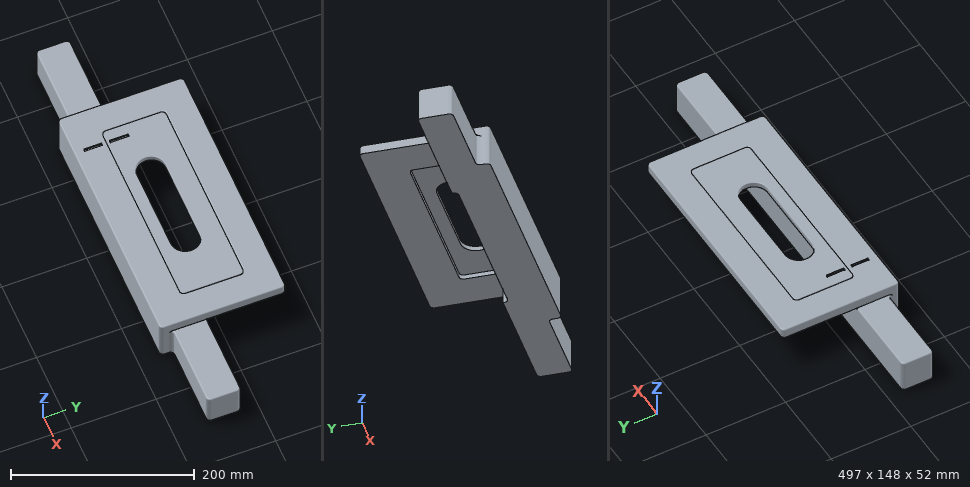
import cadquery as cq

TOTAL_LENGTH = 497.0
TOTAL_HEIGHT = 52.0
PLATE_LENGTH = 297.0
PLATE_WIDTH = 148.0
BAR_WIDTH = 40.0
BAR_HEIGHT = 40.5
LIP_WIDTH = 15.0
CORNER_RADIUS = 5.0
EDGE_FILLET = 2.0
BAR_BACK_Y = LIP_WIDTH + BAR_WIDTH

INSERT_LENGTH = 230.0
INSERT_WIDTH = 74.5
INSERT_THICKNESS = 6.5
INSERT_CENTER_Y = 75.5
INSERT_CORNER_RADIUS = 5.0
INSERT_EDGE_FILLET = 1.0
INSERT_BOTTOM = TOTAL_HEIGHT - INSERT_THICKNESS
LEDGE_WIDTH = 10.0

SLOT_LENGTH = 130.5
SLOT_WIDTH = 34.0
SLOT_CENTER_Y = 70.0

MARK_WIDTH = 3.0
MARK_DEPTH = 2.0
MARK_X = -100.0
INSERT_MARK_LENGTH = 22.0
INSERT_MARK_Y = 53.0
PLATE_MARK_LENGTH = 21.0
PLATE_MARK_Y = 22.5


def box(length, width, height, center_y, bottom=0):
    """Box centred on X = 0."""
    return cq.Workplane("XY", origin=(0, center_y, bottom)).rect(length, width).extrude(height)


def make_mark(length, center_y):
    """Cutter for one alignment groove in the top face."""
    groove = box(MARK_WIDTH, length, MARK_DEPTH, center_y, TOTAL_HEIGHT - MARK_DEPTH)
    return groove.translate((MARK_X, 0, 0))


def make_insert_blank():
    """Insert outline at full thickness; it is also the shape of the pocket."""
    blank = box(INSERT_LENGTH, INSERT_WIDTH, INSERT_THICKNESS, INSERT_CENTER_Y, INSERT_BOTTOM)
    return blank.edges("|Z").fillet(INSERT_CORNER_RADIUS)


def make_bar():
    """Bar with the lip in front of it; rounds run in and out of the inner corners."""
    bar = box(TOTAL_LENGTH, BAR_WIDTH, BAR_HEIGHT, LIP_WIDTH + BAR_WIDTH / 2)
    lip = box(PLATE_LENGTH, BAR_BACK_Y, BAR_HEIGHT, BAR_BACK_Y / 2)
    bar = bar.union(lip).edges("|Z").fillet(CORNER_RADIUS)
    return bar.faces(">Z").edges().fillet(EDGE_FILLET)


def make_plate():
    """Plate that reaches down to the underside at the lip and overhangs behind the bar."""
    plate = box(PLATE_LENGTH, PLATE_WIDTH, TOTAL_HEIGHT, PLATE_WIDTH / 2)
    plate = plate.edges("|Z").fillet(CORNER_RADIUS)
    plate = plate.faces(">Z").edges().fillet(EDGE_FILLET)
    overhang = PLATE_WIDTH - BAR_BACK_Y
    return plate.cut(box(PLATE_LENGTH, overhang, BAR_HEIGHT, BAR_BACK_Y + overhang / 2))


def make_opening():
    """Opening below the insert, one ledge width inside the pocket, down through the base."""
    opening = box(
        INSERT_LENGTH - 2 * LEDGE_WIDTH,
        INSERT_WIDTH - 2 * LEDGE_WIDTH,
        INSERT_BOTTOM,
        INSERT_CENTER_Y,
    )
    return opening.edges("|Z").fillet(INSERT_CORNER_RADIUS)


def make_base():
    base = make_bar().union(make_plate())
    base = base.cut(make_insert_blank()).cut(make_opening())
    pocket_rim = base.faces(">Z").val().innerWires()[0]
    base = base.newObject(pocket_rim.Edges()).fillet(EDGE_FILLET)
    return base.cut(make_mark(PLATE_MARK_LENGTH, PLATE_MARK_Y))


def make_insert():
    slot = cq.Workplane("XY", origin=(0, SLOT_CENTER_Y, INSERT_BOTTOM))
    slot = slot.slot2D(SLOT_LENGTH, SLOT_WIDTH).extrude(INSERT_THICKNESS)
    insert = make_insert_blank().cut(slot)
    insert = insert.faces(">Z").edges().fillet(INSERT_EDGE_FILLET)
    return insert.cut(make_mark(INSERT_MARK_LENGTH, INSERT_MARK_Y))


base = make_base()
insert = make_insert()
result = cq.Compound.makeCompound([base.val(), insert.val()])